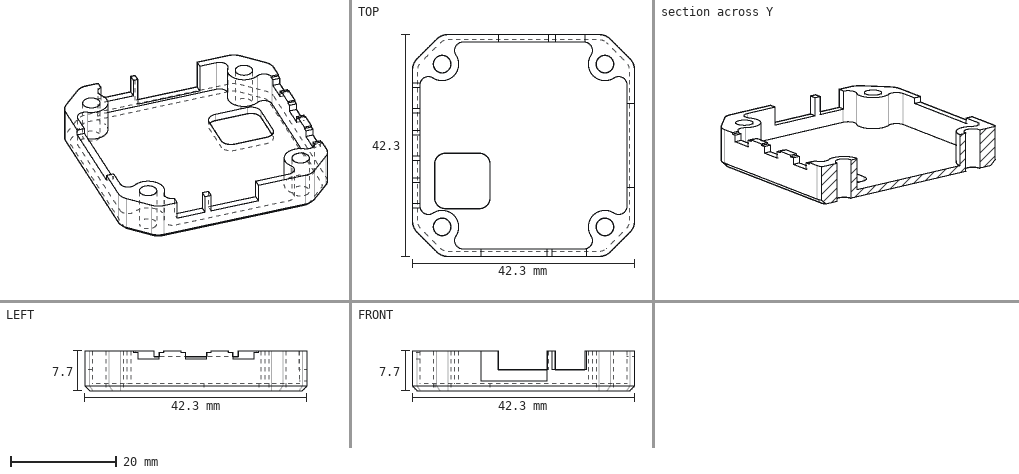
import cadquery as cq
import math

length_x = 42.32
length_y = 42.3
height = 7.7
corner_cut = 5.5
corner_round = 3.0
bottom_chamfer = 1.0

wall = 1.45
floor = 1.5
screw_pitch = 31.0
screw_hole_diameter = 3.3
boss_radius = 3.15
cavity_round = 1.6

window_size = 10.5
window_center = (-11.65, -6.75)
window_round = 2.0

front_large_span = (-8.1, 4.5)
front_large_sill = 1.95
front_small_span = (5.4, 12.0)
back_large_span = (-4.8, 4.8)
back_small_span = (6.05, 11.7)
connector_sill = 4.1
right_span = (-8.0, 8.0)
right_depth = 1.1

button_pitch = 9.03
button_width = 4.0
button_depth = 1.6
button_step_width = 5.7
button_step_depth = 0.3

button_steps = [(button_width, button_depth), (button_step_width, button_step_depth)]

notch_overrun = 0.5

half_x = length_x / 2
half_y = length_y / 2
screw_offset = screw_pitch / 2
screw_points = [(sx * screw_offset, sy * screw_offset) for sx in (-1, 1) for sy in (-1, 1)]


def make_body():
    """Square block with cut and rounded corners and a chamfered bottom rim."""
    block = cq.Workplane("XY").box(length_x, length_y, height, centered=(True, True, False))
    block = block.edges("|Z").chamfer(corner_cut)
    block = block.edges("|Z").fillet(corner_round)
    return block.faces("<Z").edges().chamfer(bottom_chamfer)


def corner_land(sign_x, sign_y):
    """Solid corner around one screw: a boss blended into both walls by hollow arcs."""
    inner_x = half_x - wall
    inner_y = half_y - wall
    center_distance = boss_radius + cavity_round

    side_y = inner_y - cavity_round
    side_x = screw_offset - math.sqrt(center_distance**2 - (side_y - screw_offset) ** 2)
    end_x = inner_x - cavity_round
    end_y = screw_offset - math.sqrt(center_distance**2 - (end_x - screw_offset) ** 2)

    def on_arc(center, radius, angle):
        x = center[0] + radius * math.cos(angle)
        y = center[1] + radius * math.sin(angle)
        return (sign_x * x, sign_y * y)

    boss = (screw_offset, screw_offset)
    side = (side_x, side_y)
    end = (end_x, end_y)
    side_angle = math.atan2(screw_offset - side_y, screw_offset - side_x)
    end_angle = math.atan2(screw_offset - end_y, screw_offset - end_x)
    quarter = math.pi / 2
    diagonal = math.pi * 5 / 4

    return (
        cq.Workplane("XY", origin=(0, 0, floor))
        .moveTo(*on_arc(side, cavity_round, quarter))
        .threePointArc(
            on_arc(side, cavity_round, (quarter + side_angle) / 2),
            on_arc(side, cavity_round, side_angle),
        )
        .threePointArc(
            on_arc(boss, boss_radius, diagonal),
            on_arc(boss, boss_radius, end_angle + math.pi),
        )
        .threePointArc(
            on_arc(end, cavity_round, end_angle / 2),
            on_arc(end, cavity_round, 0),
        )
        .lineTo(sign_x * inner_x, sign_y * inner_y)
        .close()
        .extrude(height - floor)
    )


def make_cavity():
    """Open-topped pocket that leaves the walls, the floor and the four screw corners."""
    cavity = cq.Workplane("XY", origin=(0, 0, floor)).rect(
        length_x - 2 * wall, length_y - 2 * wall
    ).extrude(height - floor)
    for sign_x in (-1, 1):
        for sign_y in (-1, 1):
            cavity = cavity.cut(corner_land(sign_x, sign_y))
    return cavity


def make_window():
    """Rounded square opening through the floor."""
    window = cq.Workplane("XY").center(*window_center).rect(window_size, window_size)
    return window.extrude(floor).edges("|Z").fillet(window_round)


def notch_x(side, span, sill):
    """Notch along X in the front (side -1) or back (side +1) wall."""
    start, end = span
    return (
        cq.Workplane("XY", origin=((start + end) / 2, side * (half_y - wall / 2), sill))
        .rect(end - start, wall + 2 * notch_overrun)
        .extrude(height - sill)
    )


def notch_y(side, span, sill):
    """Notch along Y in the left (side -1) or right (side +1) wall."""
    start, end = span
    return (
        cq.Workplane("XY", origin=(side * (half_x - wall / 2), (start + end) / 2, sill))
        .rect(wall + 2 * notch_overrun, end - start)
        .extrude(height - sill)
    )


def centered_span(center, width):
    return (center - width / 2, center + width / 2)


result = make_body().cut(make_cavity()).cut(make_window())
result = result.cut(
    cq.Workplane("XY").pushPoints(screw_points).circle(screw_hole_diameter / 2).extrude(height)
)

result = result.cut(notch_x(-1, front_large_span, front_large_sill))
result = result.cut(notch_x(-1, front_small_span, connector_sill))
result = result.cut(notch_x(1, back_large_span, connector_sill))
result = result.cut(notch_x(1, back_small_span, connector_sill))
result = result.cut(notch_y(1, right_span, height - right_depth))

for index in (-1, 0, 1):
    center = index * button_pitch
    for width, depth in button_steps:
        result = result.cut(notch_y(-1, centered_span(center, width), height - depth))